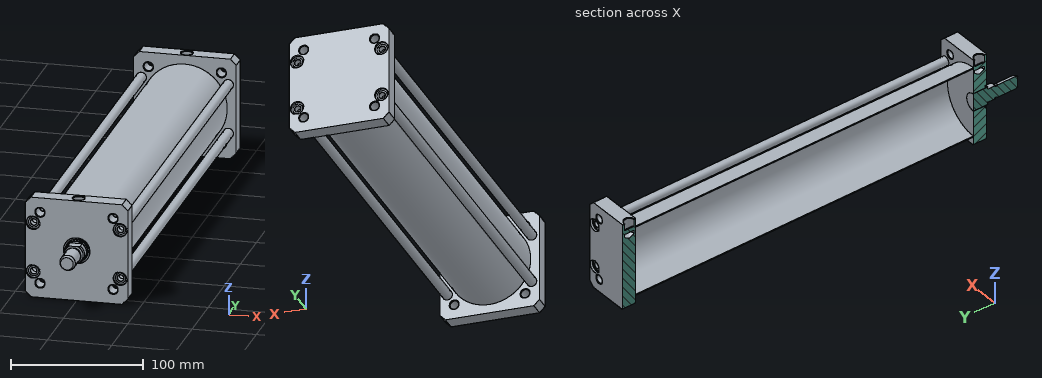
import cadquery as cq
import math

total_length = 379.0
plate_side = 80.0
plate_thickness = 13.0
plate_corner_cut = 4.5
rod_projection = 30.0

front_tip = -total_length / 2
front_face = front_tip + rod_projection
rear_face = total_length / 2
tube_start = front_face + plate_thickness
tube_end = rear_face - plate_thickness

tube_outer_diameter = 66.0
tube_bore_diameter = 63.0

tie_rod_diameter = 8.0
tie_rod_circle_radius = 39.0
tie_rod_angle = 30.0
tie_rod_x = tie_rod_circle_radius * math.cos(math.radians(tie_rod_angle))
tie_rod_z = tie_rod_circle_radius * math.sin(math.radians(tie_rod_angle))
tie_rod_seat_diameter = 10.5
tie_rod_seat_depth = 2.0
tie_rod_socket_diameter = 5.0
tie_rod_socket_mouth_diameter = 5.3
tie_rod_socket_depth = 5.5

mount_hole_offset = 28.5
mount_hole_diameter = 7.0
mount_hole_mouth_diameter = 8.0

port_diameter = 8.7
port_mouth_diameter = 10.0
port_depth = 13.3
port_from_inner_face = 6.0
port_bar_diameter = 4.0
port_bar_depth = 8.7
drill_tip_angle = 118.0

lip_recess_diameter = 20.5
lip_recess_depth = 1.0
lip_base_diameter = 18.0
lip_tip_diameter = 16.5
lip_height = 1.0

rod_diameter = 16.0
rod_shoulder_length = 8.5
rod_shoulder_chamfer = 0.8
rod_shoulder_chamfer_length = 1.5
rod_flat_width = 13.0
neck_diameter = 10.5
thread_length = 19.5
thread_diameter = 12.0
thread_tip_diameter = 10.0
thread_chamfer_length = 2.3


def turned(profile):
    """Solid of revolution about Y from (radius, y) points."""
    return cq.Workplane("XY").polyline(profile).close().revolve(360, (0, 0, 0), (0, 1, 0))


def rod_along_y(diameter, y_start, y_end, x=0.0, z=0.0):
    """Round bar along Y between two Y positions."""
    return (
        cq.Workplane("XZ", origin=(x, y_start, z))
        .circle(diameter / 2)
        .extrude(y_start - y_end)
    )


def drill_along_y(diameter, depth, mouth_diameter, y_face, inward):
    """Blind hole with a conical tip and a 45 degree mouth; inward is +1 or -1 along Y."""
    radius = diameter / 2
    mouth_radius = mouth_diameter / 2
    tip = radius / math.tan(math.radians(drill_tip_angle / 2))
    return turned([
        (0, y_face),
        (mouth_radius, y_face),
        (radius, y_face + inward * (mouth_radius - radius)),
        (radius, y_face + inward * depth),
        (0, y_face + inward * (depth + tip)),
    ])


def four_corners(x, z):
    return [(side_x * x, side_z * z) for side_x in (-1, 1) for side_z in (-1, 1)]


tie_rod_places = four_corners(tie_rod_x, tie_rod_z)
mount_hole_places = four_corners(mount_hole_offset, mount_hole_offset)


def mount_hole_tool(outer_y, inner_y, inward):
    """Through hole with a small chamfer at both mouths."""
    radius = mount_hole_diameter / 2
    mouth_radius = mount_hole_mouth_diameter / 2
    lead_in = inward * (mouth_radius - radius)
    return turned([
        (0, outer_y),
        (mouth_radius, outer_y),
        (radius, outer_y + lead_in),
        (radius, inner_y - lead_in),
        (mouth_radius, inner_y),
        (0, inner_y),
    ])


def port_tool(port_y):
    drill = drill_along_y(port_diameter, port_depth, port_mouth_diameter, 0, 1)
    return drill.rotate((0, 0, 0), (1, 0, 0), -90).translate((0, port_y, plate_side / 2))


def port_bar(port_y):
    """Round bar along Y that crosses the port above its floor."""
    half_length = port_mouth_diameter / 2
    bar_z = plate_side / 2 - port_bar_depth
    return rod_along_y(port_bar_diameter, port_y - half_length, port_y + half_length, z=bar_z)


def make_plate(outer_y, inward):
    inner_y = outer_y + inward * plate_thickness
    plate = (
        cq.Workplane("XY")
        .box(plate_side, plate_thickness, plate_side)
        .edges("|Y")
        .chamfer(plate_corner_cut)
        .translate((0, (outer_y + inner_y) / 2, 0))
    )
    for x, z in tie_rod_places:
        seat_y = outer_y + inward * tie_rod_seat_depth
        plate = plate.cut(rod_along_y(tie_rod_seat_diameter, outer_y, seat_y, x, z))
        plate = plate.cut(rod_along_y(tie_rod_diameter, seat_y, inner_y, x, z))
    hole = mount_hole_tool(outer_y, inner_y, inward)
    for x, z in mount_hole_places:
        plate = plate.cut(hole.translate((x, 0, z)))
    port_y = inner_y - inward * port_from_inner_face
    plate = plate.cut(port_tool(port_y)).union(port_bar(port_y))
    return plate


def make_front_plate():
    plate = make_plate(front_face, 1)
    recess_floor = front_face + lip_recess_depth
    lip_tip = front_face - lip_height
    lip = turned([
        (0, recess_floor),
        (lip_base_diameter / 2, recess_floor),
        (lip_base_diameter / 2, front_face),
        (lip_tip_diameter / 2, lip_tip),
        (0, lip_tip),
    ])
    plate = plate.cut(rod_along_y(lip_recess_diameter, front_face, recess_floor)).union(lip)
    return plate.cut(rod_along_y(rod_diameter, lip_tip, tube_start))


def make_tube():
    return rod_along_y(tube_outer_diameter, tube_start, tube_end).cut(
        rod_along_y(tube_bore_diameter, tube_start, tube_end)
    )


def make_tie_rod(x, z):
    start = front_face + tie_rod_seat_depth
    end = rear_face - tie_rod_seat_depth
    rod = rod_along_y(tie_rod_diameter, start, end)
    for face, inward in ((start, 1), (end, -1)):
        rod = rod.cut(drill_along_y(
            tie_rod_socket_diameter,
            tie_rod_socket_depth,
            tie_rod_socket_mouth_diameter,
            face,
            inward,
        ))
    return rod.translate((x, 0, z))


def make_piston_rod():
    thread_end = front_tip + thread_length
    shoulder = front_face - rod_shoulder_length
    rod_radius = rod_diameter / 2
    rod = turned([
        (0, front_tip),
        (thread_tip_diameter / 2, front_tip),
        (thread_diameter / 2, front_tip + thread_chamfer_length),
        (thread_diameter / 2, thread_end),
        (neck_diameter / 2, thread_end + (thread_diameter - neck_diameter) / 2),
        (neck_diameter / 2, shoulder),
        (rod_radius - rod_shoulder_chamfer, shoulder),
        (rod_radius, shoulder + rod_shoulder_chamfer_length),
        (rod_radius, tube_start),
        (0, tube_start),
    ])
    flat_length = front_face - lip_height - shoulder
    flat_y = shoulder + flat_length / 2
    flat_cutter = cq.Workplane("XY").box(rod_diameter, flat_length, rod_diameter)
    for side in (-1, 1):
        flat_z = side * (rod_flat_width + rod_diameter) / 2
        rod = rod.cut(flat_cutter.translate((0, flat_y, flat_z)))
    return rod


front_plate = make_front_plate()
rear_plate = make_plate(rear_face, -1)
tube = make_tube()
tie_rods = [make_tie_rod(x, z) for x, z in tie_rod_places]
piston_rod = make_piston_rod()

result = cq.Compound.makeCompound([
    front_plate.val(),
    rear_plate.val(),
    tube.val(),
    *[rod.val() for rod in tie_rods],
    piston_rod.val(),
])